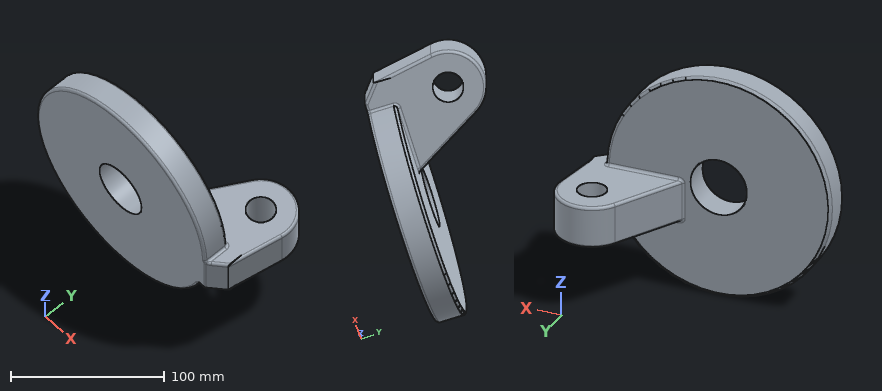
import cadquery as cq
import math

disc_radius = 80.0
disc_thickness = 20.0
bore_diameter = 40.0

lug_thickness = 30.0
lug_top_z = 0.0
lug_eye_x = 74.64
lug_eye_y = 55.62
lug_eye_radius = 25.0
lug_hole_diameter = 20.0
inner_flank_angle = math.radians(60.0)
outer_flank_lean = math.radians(10.0)
heel_y = 10.0
lug_root_y = disc_thickness / 2

edge_radius = 2.0
margin = 1.0
tolerance = 0.05


def eye_point(angle):
    """Point on the rounded end of the lug at an angle from the X axis."""
    return (
        lug_eye_x + lug_eye_radius * math.cos(angle),
        lug_eye_y + lug_eye_radius * math.sin(angle),
    )


outer_tangent = eye_point(-outer_flank_lean)
inner_tangent = eye_point(inner_flank_angle + math.pi / 2)
heel_x = outer_tangent[0] - (outer_tangent[1] - heel_y) * math.tan(outer_flank_lean)
root_x = inner_tangent[0] - (inner_tangent[1] - lug_root_y) / math.tan(inner_flank_angle)


def make_disc():
    return cq.Workplane("XZ").circle(disc_radius).extrude(-disc_thickness)


def make_lug():
    """Lug before its toe is cut: below the heel it drops straight to the front face."""
    return (
        cq.Workplane("XY", origin=(0, 0, lug_top_z))
        .moveTo(root_x, lug_root_y)
        .lineTo(root_x, 0)
        .lineTo(heel_x, 0)
        .lineTo(heel_x, heel_y)
        .lineTo(*outer_tangent)
        .threePointArc(eye_point(math.pi / 2), inner_tangent)
        .close()
        .extrude(-lug_thickness)
    )


def toe_cutter():
    """Wedge below the sloping toe, from the rim of the front face up to the heel."""
    outside_x = heel_x + margin
    return (
        cq.Workplane("XY")
        .moveTo(disc_radius, 0)
        .lineTo(heel_x, heel_y)
        .lineTo(outside_x, heel_y)
        .lineTo(outside_x, -margin)
        .lineTo(disc_radius, -margin)
        .close()
        .extrude(disc_radius, both=True)
    )


def is_line_along(edge, axis):
    """True for a straight edge parallel to the unit vector."""
    return edge.geomType() == "LINE" and abs(edge.tangentAt(0).dot(axis)) > 1 - tolerance


def is_corner_line(edge):
    """True for the lug's lines along Z at its heel and where its flanks meet the rounded end."""
    if not is_line_along(edge, cq.Vector(0, 0, 1)):
        return False
    middle = edge.Center()
    corners = (inner_tangent, outer_tangent, (heel_x, heel_y))
    return any(math.hypot(middle.x - x, middle.y - y) < tolerance for x, y in corners)


def fillet_where(body, is_chosen):
    """Round the edges that pass the test, leaving the lug's corner lines sharp."""
    edges = [edge for edge in body.edges().vals() if is_chosen(edge) and not is_corner_line(edge)]
    return body.newObject(edges).fillet(edge_radius)


def is_joint(edge):
    """Inner corners where the top and bottom of the lug leave the disc's round side."""
    return is_line_along(edge, cq.Vector(0, 1, 0)) and edge.Center().x < disc_radius + tolerance


def is_joint_back_or_lug(edge):
    """The joints, the edges in the back face and the outline of the lug behind it."""
    return is_joint(edge) or edge.Center().y > disc_thickness - tolerance


def is_front_or_toe(edge):
    """The rim of the front face and the edges of the sloping toe."""
    is_low = edge.Center().y < heel_y - tolerance
    return is_low and not is_line_along(edge, cq.Vector(0, 1, 0))


def drill(body, workplane, diameter):
    """Cut a round hole through the whole part along the workplane normal."""
    return body.cut(workplane.circle(diameter / 2).extrude(disc_radius + margin, both=True))


body = make_disc().union(make_lug())
body = fillet_where(body, is_joint_back_or_lug)
body = fillet_where(body.cut(toe_cutter()), is_front_or_toe)
body = drill(body, cq.Workplane("XZ"), bore_diameter)
result = drill(body, cq.Workplane("XY", origin=(lug_eye_x, lug_eye_y, 0)), lug_hole_diameter)